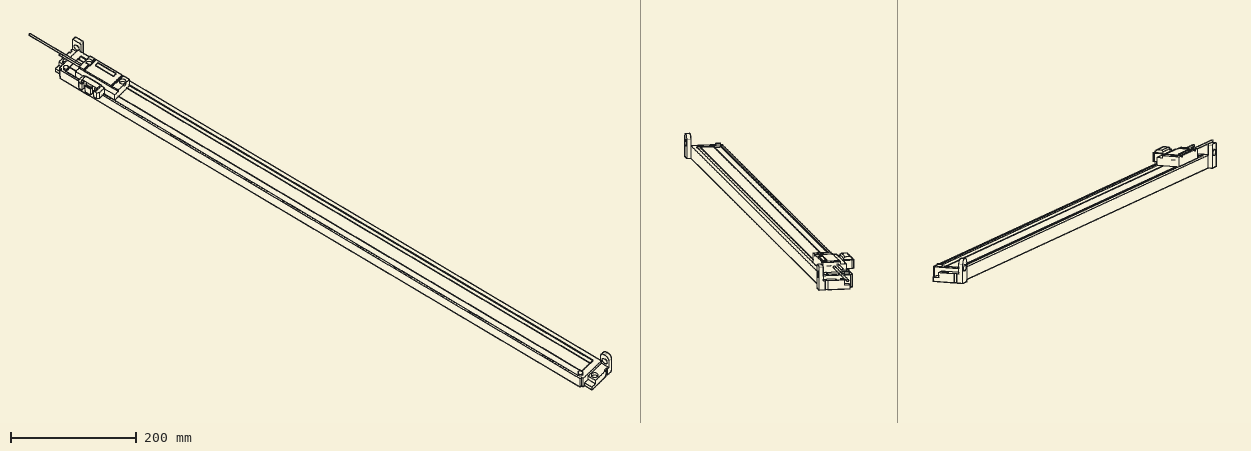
import cadquery as cq

LENGTH = 1150.0
WIDTH = 69.0
HEIGHT = 39.0
RAIL_TOP = 21.0
STRIP_TOP = 20.0

RAIL_FRONT = 12.0
LUG_THICKNESS = 7.0
RAIL_BACK = WIDTH - LUG_THICKNESS
RAIL_START = 80.0
RAIL_END = 1132.0
STRIP_FRONT = 26.0
STRIP_BACK = 48.0
FRONT_GROOVE_EDGE = 15.0
BACK_GROOVE_EDGE = 55.0
GROOVE_FLOOR = 18.0
TRACK_START = 89.0
TRACK_END = 1124.0

CAP_START = 65.0
CAP_FRONT = 18.0
CAP_BLOCK_FRONT = 28.0
CAP_LEDGE_TOP = 7.0
CAP_BLOCK_TOP = 15.0
CAP_GROOVE_FRONT = 54.0
CAP_GROOVE_BACK = 59.0
CAP_GROOVE_DEPTH = 2.0
CAP_HOLE_DIAMETER = 10.0
CAP_HOLE_DEPTH = 6.0
CAP_HOLE_INSET = 8.0
CAP_HOLE_Y = 36.0
PLATE_THICKNESS = 3.0
PLATE_FRONT = 15.0
LUG_LENGTH = 17.0
LUG_HOLE_DIAMETER = 10.0
LUG_HOLE_Z = 24.0
LUG_CORNER_START = 2.0
LUG_CORNER_END = 8.0
SCREW_DIAMETER = 8.0
SCREW_HEIGHT = 3.0
SCREW_Y = 20.0
SCREW_INSET = 6.0

HEAD_START = 108.0
HEAD_END = 187.0
HEAD_FRONT = 16.0
HEAD_BACK = 54.0
HEAD_TOP = 36.0
LEDGE_BACK = 25.0
LEDGE_TOP = 32.0
COVER_START = 120.0
COVER_END = 172.0
CROSS_GROOVE_WIDTH = 2.0
CROSS_GROOVE_DEPTH = 2.0
WINDOW_START = 126.0
WINDOW_END = 163.0
WINDOW_FRONT = 44.0
WINDOW_BACK = 51.0
WINDOW_DEPTH = 1.0
BORE_DIAMETER = 10.0
BORE_DEPTH = 6.0
BORE_Y = 44.0
BORE_INSET = 6.0

BRACKET_START = 124.0
BRACKET_LENGTH = 43.0
BRACKET_TOP = 35.0
BRACKET_CORNER = 3.0
BLOCK_LENGTH = 30.0
BLOCK_FRONT = 2.0
BLOCK_CHAMFER = 2.0
NOTCH_WIDTH = 6.0
NOTCH_DEPTH = 5.0
NOTCH_SPACING = 17.0

CABLE_DIAMETER = 3.0
CABLE_Y = 36.0
CABLE_Z = 28.0
ROD_START = CAP_START
ROD_Y = 30.0
ROD_Z = 31.0


def box(x0, x1, y0, y1, z0, z1):
    """Box between two opposite corners."""
    return cq.Workplane("XY").box(x1 - x0, y1 - y0, z1 - z0, centered=False).translate((x0, y0, z0))


def upright_cylinder(x, y, z, diameter, height):
    """Cylinder along Z that stands on level z."""
    return cq.Workplane("XY", origin=(x, y, z)).circle(diameter / 2).extrude(height)


def rod_along_x(start, end, y, z, diameter):
    """Cylinder along X."""
    return cq.Workplane("YZ", origin=(start, y, z)).circle(diameter / 2).extrude(end - start)


def make_profile():
    """Rail bar with a sunken centre strip and a deeper groove on each side of it."""
    bar = box(RAIL_START, RAIL_END, RAIL_FRONT, RAIL_BACK, 0, RAIL_TOP)
    track = box(TRACK_START, TRACK_END, FRONT_GROOVE_EDGE, BACK_GROOVE_EDGE, STRIP_TOP, RAIL_TOP)
    bar = bar.cut(track)
    for y0, y1 in ((FRONT_GROOVE_EDGE, STRIP_FRONT), (STRIP_BACK, BACK_GROOVE_EDGE)):
        bar = bar.cut(box(TRACK_START, TRACK_END, y0, y1, GROOVE_FLOOR, RAIL_TOP))
    return bar


def make_cap(outer_x, inward):
    """Stepped end cap with its closing plate; inward is +1 or -1 along X, towards the rail."""
    rail_x = RAIL_START if inward > 0 else RAIL_END
    x0, x1 = sorted((outer_x, rail_x))
    cap = box(x0, x1, CAP_FRONT, RAIL_BACK, 0, CAP_LEDGE_TOP)
    cap = cap.union(box(x0, x1, CAP_BLOCK_FRONT, RAIL_BACK, 0, CAP_BLOCK_TOP))
    x0, x1 = sorted((outer_x, outer_x + inward * CAP_GROOVE_DEPTH))
    cap = cap.cut(box(x0, x1, CAP_GROOVE_FRONT, CAP_GROOVE_BACK, 0, CAP_BLOCK_TOP))
    hole_x = outer_x + inward * CAP_HOLE_INSET
    hole_floor = CAP_BLOCK_TOP - CAP_HOLE_DEPTH
    cap = cap.cut(upright_cylinder(hole_x, CAP_HOLE_Y, hole_floor, CAP_HOLE_DIAMETER, CAP_HOLE_DEPTH))
    x0, x1 = sorted((rail_x, rail_x - inward * PLATE_THICKNESS))
    return cap.union(box(x0, x1, PLATE_FRONT, RAIL_BACK, 0, RAIL_TOP))


def make_lug(x0, x1, corner):
    """Upright lug with rounded top corners and a through hole, behind the rail."""
    lug = box(x0, x1, RAIL_BACK, WIDTH, 0, HEIGHT)
    lug = lug.edges("|Y and >Z").fillet(corner)
    hole = (
        cq.Workplane("XZ", origin=((x0 + x1) / 2, WIDTH, LUG_HOLE_Z))
        .circle(LUG_HOLE_DIAMETER / 2)
        .extrude(LUG_THICKNESS)
    )
    return lug.cut(hole)


def make_rail():
    """Grooved bar with its end caps, lugs and cap screws."""
    rail = make_profile()
    rail = rail.union(make_cap(CAP_START, 1))
    rail = rail.union(make_cap(LENGTH, -1))
    rail = rail.union(make_lug(CAP_START, CAP_START + LUG_LENGTH, LUG_CORNER_START))
    rail = rail.union(make_lug(LENGTH - LUG_LENGTH, LENGTH, LUG_CORNER_END))
    for x in (RAIL_START + SCREW_INSET, RAIL_END - SCREW_INSET):
        rail = rail.union(upright_cylinder(x, SCREW_Y, RAIL_TOP, SCREW_DIAMETER, SCREW_HEIGHT))
    return rail


def make_head_block():
    """Stepped head block with cross grooves, a cover window and screw recesses."""
    head = box(HEAD_START, HEAD_END, HEAD_FRONT, HEAD_BACK, STRIP_TOP, LEDGE_TOP)
    head = head.union(box(HEAD_START, HEAD_END, LEDGE_BACK, HEAD_BACK, STRIP_TOP, HEAD_TOP))
    groove_floor = HEAD_TOP - CROSS_GROOVE_DEPTH
    for x in (COVER_START - CROSS_GROOVE_WIDTH, COVER_END):
        head = head.cut(box(x, x + CROSS_GROOVE_WIDTH, LEDGE_BACK, HEAD_BACK, groove_floor, HEAD_TOP))
    head = head.cut(
        box(WINDOW_START, WINDOW_END, WINDOW_FRONT, WINDOW_BACK, HEAD_TOP - WINDOW_DEPTH, HEAD_TOP)
    )
    for x in (HEAD_START + BORE_INSET, HEAD_END - BORE_INSET):
        head = head.cut(upright_cylinder(x, BORE_Y, HEAD_TOP - BORE_DEPTH, BORE_DIAMETER, BORE_DEPTH))
    return head


def make_bracket():
    """Front bracket with a raised middle block and two notches in its front face."""
    middle = BRACKET_START + BRACKET_LENGTH / 2
    bracket = box(BRACKET_START, BRACKET_START + BRACKET_LENGTH, 0, HEAD_FRONT, RAIL_TOP, BRACKET_TOP)
    bracket = bracket.edges("|Z and <Y").chamfer(BRACKET_CORNER)
    block = box(middle - BLOCK_LENGTH / 2, middle + BLOCK_LENGTH / 2, BLOCK_FRONT, HEAD_FRONT,
                RAIL_TOP, HEIGHT)
    block = block.edges("|X and >Z").chamfer(BLOCK_CHAMFER)
    bracket = bracket.union(block)
    for x in (middle - NOTCH_SPACING / 2, middle + NOTCH_SPACING / 2):
        bracket = bracket.cut(
            box(x - NOTCH_WIDTH / 2, x + NOTCH_WIDTH / 2, 0, NOTCH_DEPTH, RAIL_TOP, HEIGHT)
        )
    return bracket


def make_reader():
    """Reader head with its bracket, cable and strain-relief rod."""
    reader = make_head_block().union(make_bracket())
    reader = reader.union(rod_along_x(0, HEAD_START, CABLE_Y, CABLE_Z, CABLE_DIAMETER))
    return reader.union(rod_along_x(ROD_START, HEAD_START, ROD_Y, ROD_Z, CABLE_DIAMETER))


rail = make_rail()
reader = make_reader()
result = cq.Compound.makeCompound([rail.val(), reader.val()])